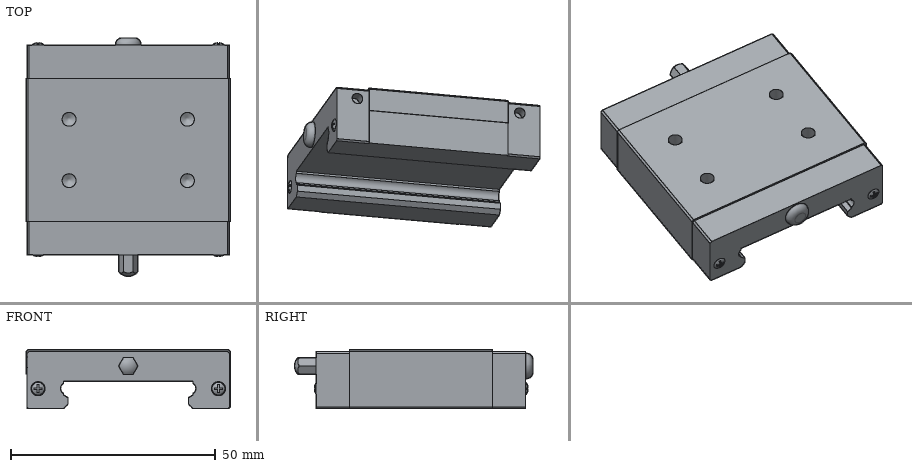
import cadquery as cq
import math

overall_length = 58.45
block_width = 50.0
block_height = 14.5

block_length = 35.05
top_chamfer = 0.45
foot_chamfer = 0.4
side_relief = 0.2
side_relief_height = 8.5

cap_length = 8.1
cap_width = 49.55
cap_height = 14.0
cap_end = block_length / 2 + cap_length

channel_roof = 6.7
lip_half_width = 14.7
lip_high = 2.7
lip_chamfer = 1.1
wall_half_width = 15.85
wall_low = 3.4
groove_height = 4.95
groove_chord = 2.45
groove_depth = 0.7

mount_diameter = 3.4
mount_depth = 6.0
mount_spacing_x = 29.0
mount_spacing_y = 15.0
drill_point_angle = 118.0

lube_diameter = 2.65
lube_depth = 3.5
lube_height = 11.4
lube_from_end = 5.15

fitting_height = 10.45
plug_diameter = 6.3
plug_length = 1.8
plug_round = 1.65
pin_flats = 4.1
pin_length = overall_length - 2 * cap_end - plug_length
pin_tip_radius = 2.9

screw_offset = 22.1
screw_height = 4.9
screw_diameter = 3.15
screw_seat_diameter = 3.45
screw_dome = 0.65
screw_sink = 0.2
cross_length = 1.9
cross_width = 0.4
cross_depth = 0.45


def channel(length):
    """Rail channel cutter, symmetric about X = 0 and Y = 0."""
    right_half = (
        cq.Workplane("XZ")
        .lineTo(lip_half_width + lip_chamfer, 0)
        .lineTo(lip_half_width, lip_chamfer)
        .lineTo(lip_half_width, lip_high)
        .lineTo(wall_half_width, wall_low)
        .lineTo(wall_half_width, groove_height - groove_chord / 2)
        .threePointArc(
            (wall_half_width + groove_depth, groove_height),
            (wall_half_width, groove_height + groove_chord / 2),
        )
        .lineTo(wall_half_width, channel_roof)
        .lineTo(0, channel_roof)
        .close()
        .extrude(length / 2, both=True)
    )
    return right_half.union(right_half.mirror("YZ"))


def bar(width, length, height):
    """Bar standing on Z = 0 with its long top edges chamfered."""
    blank = cq.Workplane("XY").box(width, length, height, centered=(True, True, False))
    return blank.faces(">Z").edges("|Y").chamfer(top_chamfer)


def steel_block():
    """Block with one chamfered foot and the lower part of the -X face set back."""
    block = bar(block_width, block_length, block_height)
    block = block.edges("|Y and >X and <Z").chamfer(foot_chamfer)
    relief = cq.Workplane("XY").box(
        2 * side_relief, block_length, side_relief_height, centered=(True, True, False)
    )
    return block.cut(relief.translate((-block_width / 2, 0, 0)))


def cap_bar():
    """Bar running the full length; its two ends form the caps."""
    body = bar(cap_width, 2 * cap_end, cap_height)
    return body.faces("<Z").edges("|Y").chamfer(foot_chamfer)


def mounting_hole():
    """Blind drilled hole whose mouth is at Z = 0."""
    radius = mount_diameter / 2
    point = radius / math.tan(math.radians(drill_point_angle / 2))
    profile = [(0, 0), (radius, 0), (radius, -mount_depth), (0, -mount_depth - point)]
    return cq.Workplane("XZ").polyline(profile).close().revolve(360, (0, 0), (0, 1))


def lube_hole():
    """Blind hole running in +X from the cap side."""
    return cq.Workplane("YZ").circle(lube_diameter / 2).extrude(lube_depth)


def hex_pin():
    """Hexagonal pin along -Y from the origin, with a spherical tip."""
    corners = pin_flats / math.cos(math.radians(30))
    pin = cq.Workplane("XZ").polygon(6, corners).extrude(pin_length)
    tip_center = pin_length - pin_tip_radius
    rounding = cq.Workplane("XZ").circle(pin_tip_radius).extrude(tip_center)
    rounding = rounding.union(cq.Workplane("XY").sphere(pin_tip_radius).translate((0, -tip_center, 0)))
    return pin.intersect(rounding)


def plug():
    """Round plug along +Y from the origin, with a rounded rim."""
    disc = cq.Workplane("XZ").circle(plug_diameter / 2).extrude(-plug_length)
    return disc.faces(">Y").edges().fillet(plug_round)


def screw_head():
    """Domed cross-recess head rising in -Y from the origin."""
    radius = screw_diameter / 2
    profile = cq.Workplane("XY").lineTo(radius, 0)
    bulge = (radius ** 2 + screw_dome ** 2) / (2 * screw_dome)
    half_angle = math.asin(radius / bulge) / 2
    mid = (bulge * math.sin(half_angle), bulge - screw_dome - bulge * math.cos(half_angle))
    head = profile.threePointArc(mid, (0, -screw_dome)).close().revolve(360, (0, 0), (0, 1))
    slot = cq.Workplane("XY").box(cross_length, 2 * cross_depth, cross_width)
    slot = slot.union(cq.Workplane("XY").box(cross_width, 2 * cross_depth, cross_length))
    return head.cut(slot.translate((0, -screw_dome, 0)))


result = steel_block().union(cap_bar())
result = result.cut(channel(2 * cap_end))

for side_y in (-1, 1):
    for side_x in (-1, 1):
        place = (side_x * mount_spacing_x / 2, side_y * mount_spacing_y / 2, block_height)
        result = result.cut(mounting_hole().translate(place))
    place = (-cap_width / 2, side_y * (cap_end - lube_from_end), lube_height)
    result = result.cut(lube_hole().translate(place))

result = result.union(hex_pin().translate((0, -cap_end, fitting_height)))
result = result.union(plug().translate((0, cap_end, fitting_height)))

seat = cq.Workplane("XZ").circle(screw_seat_diameter / 2).extrude(screw_sink)
rear_head = screw_head().rotate((0, 0, 0), (0, 0, 1), 180)
for side_x in (-1, 1):
    front_place = (side_x * screw_offset, screw_sink - cap_end, screw_height)
    rear_place = (side_x * screw_offset, cap_end, screw_height)
    result = result.cut(seat.translate(front_place))
    result = result.union(screw_head().translate(front_place))
    result = result.union(rear_head.translate(rear_place))